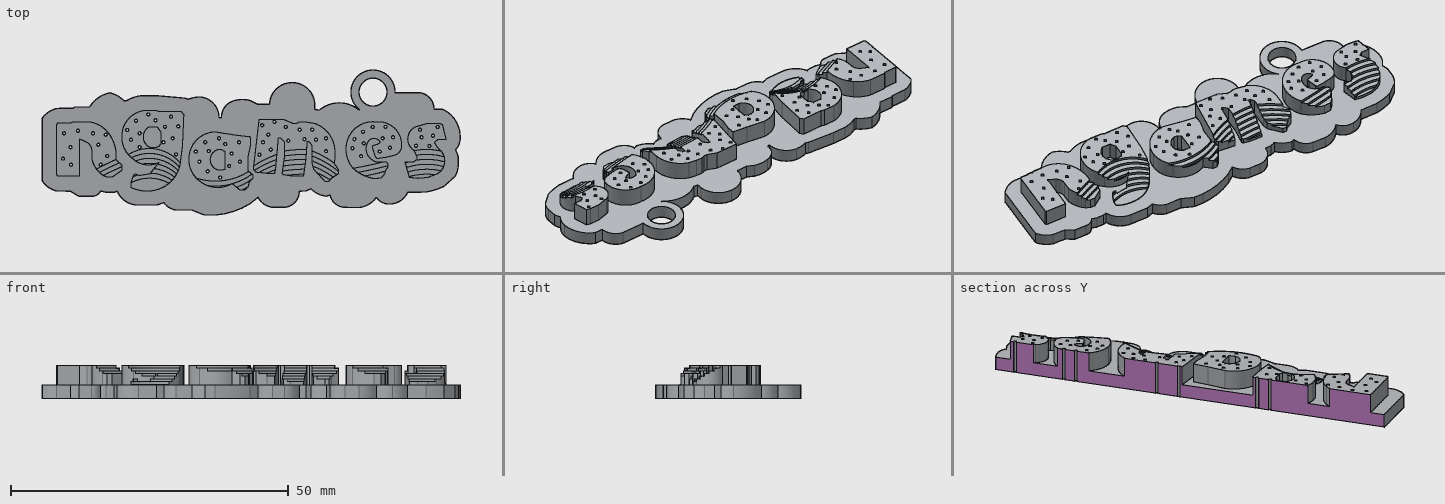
import cadquery as cq


total_height = 6.0
plate_thickness = 2.5
thinnest_tread = 0.1
longest_stair = 7
tread_drop = (total_height - plate_thickness - thinnest_tread) / longest_stair

ring_centre = (59.55, 22.16)
ring_radius = 4.0
ring_hole_diameter = 5.0

dot_diameter = 0.5
tread_depth = 0.89
stair_reach = 12.0

plate_outline = [
    (0, 6.2),
    (0, 17.5), ((1.15, 18.6), (2.7, 19.25)), (5.6, 19.3), (5.8, 19.5), (8.55, 19.5),
    ((10.0, 21.1), (12.2, 22.05)), ((13.6, 21.5), (14.7, 20.65)), (15.2, 20.65),
    ((16.5, 21.25), (17.9, 21.55)), (20.5, 21.55), (25.7, 21.1), (26.3, 20.9),
    ((27.3, 21.2), (28.6, 21.3)), ((30.8, 20.2), (31.85, 17.55)), (32.25, 17.55),
    ((32.95, 19.6), (34.6, 20.65)), ((35.9, 20.85), (37.5, 20.65)), (38.8, 20.0), (40.9, 20.0),
    ((42.2, 22.8), (45.1, 23.9)), ((47.9, 22.7), (49.1, 20.0)), (49.1, 19.05), (49.9, 18.95),
    ((53.4, 20.25), (57.05, 18.95)),
    (63.6, 22.05), (68.1, 22.05),
    ((69.6, 21.3), (70.55, 19.1)), (72.1, 19.1), ((74.1, 17.5), (75.27, 14.0)),
    ((75.1, 12.9), (74.45, 11.8)), (74.9, 10.6), (74.9, 8.8), ((74.7, 7.8), (74.3, 6.95)),
    (72.3, 5.15), ((70.9, 4.6), (69.1, 4.15)), (65.8, 4.1),
    ((64.8, 2.8), (63.1, 2.05)), ((61.4, 2.2), (60.15, 3.2)), ((58.8, 1.95), (57.0, 1.35)),
    (54.5, 1.4), ((52.7, 2.1), (51.8, 3.65)), (51.2, 3.4), ((49.7, 3.8), (48.4, 4.75)),
    (47.5, 4.35), (46.3, 4.3), ((45.6, 2.4), (43.6, 1.4)), (41.5, 1.4),
    ((39.9, 2.0), (38.85, 3.2)), (37.4, 2.05), ((34.4, 0.65), (31.1, 0)), (29.3, 0),
    ((28.2, 0.4), (27.0, 0.9)), (24.1, 0.9), ((22.8, 1.4), (21.9, 2.25)), (20.6, 1.8),
    (17.3, 1.8), ((15.0, 2.5), (13.5, 4.3)), (12.9, 4.1), (11.5, 4.1), (10.5, 4.35),
    ((9.9, 3.65), (8.9, 3.4)), (6.6, 3.4), (5.1, 4.3), (2.6, 4.35), ((1.2, 4.95), (0, 6.2)),
]

letter_n = {
    "outline": [
        (2.8, 7.05), (6.7, 7.05), (6.7, 13.75), (8.1, 13.1), ((8.75, 12.4), (8.95, 11.5)),
        (8.95, 10.1), ((9.65, 8.5), (10.9, 7.2)), (11.7, 6.85), (12.6, 6.85), (14.35, 8.1),
        (14.35, 9.0), (13.3, 10.0), ((12.8, 13.3), (11.4, 15.4)), ((10.1, 16.3), (8.6, 16.8)),
        (5.5, 16.8), (5.2, 16.6), (2.8, 16.6), (2.6, 16.3), (2.6, 7.3), (2.8, 7.05),
    ],
    "counter": None,
    "dots": [
        (3.95, 14.75), (6.45, 15.2), (9.15, 14.75), (11.45, 14.5), (5.1, 12.25),
        (10.1, 12.7), (3.75, 10.2), (5.2, 9.1), (11.7, 10.65), (10.55, 9.1),
    ],
    "stairs": [((9.1, 7.95), (11.6, 9.25), (14.9, 10.75), 3)],
}

letter_g = {
    "outline": [
        (25.0, 18.7), (25.5, 18.1), (25.25, 12.4), (24.8, 9.0),
        ((23.0, 5.9), (18.8, 4.35)), ((17.4, 4.5), (16.0, 5.0)), (16.0, 5.95), (16.45, 7.2),
        (16.8, 7.45), (17.4, 7.15), (19.4, 7.45), (21.0, 9.5),
        ((19.0, 9.05), (16.4, 10.1)), ((14.9, 11.8), (14.35, 14.4)),
        ((15.5, 17.3), (18.3, 18.85)), (20.5, 18.85), (21.1, 18.65), (25.0, 18.7),
    ],
    "counter": [
        (19.2, 15.9), (20.7, 15.9), (21.4, 14.95), (21.4, 12.9), (21.0, 12.35), (20.1, 12.15),
        (19.3, 12.25), ((18.2, 14.2), (19.2, 15.9)),
    ],
    "dots": [
        (19.1, 18.15), (16.9, 17.0), (20.4, 17.1), (23.2, 17.75), (15.3, 15.35), (22.1, 15.9),
        (24.5, 16.0), (17.55, 14.75), (16.0, 13.6), (23.5, 13.85), (21.85, 13.15),
        (17.55, 12.25), (24.1, 10.95),
    ],
    "stairs": [((14.9, 10.5), (20.3, 11.95), (25.3, 8.8), 7)],
}

letter_a = {
    "outline": [
        (37.5, 14.1), (37.5, 12.6), (37.05, 10.5), (37.05, 8.0),
        (37.9, 7.3), (37.95, 6.7), (37.3, 6.0), (37.1, 5.2), (36.5, 4.55), (35.6, 4.55),
        (34.2, 5.7),
        ((31.3, 5.0), (28.3, 6.2)), ((26.85, 8.0), (26.4, 10.0)), ((27.8, 13.55), (31.1, 15.0)),
        (34.6, 14.45), (37.5, 14.1),
    ],
    "counter": [
        (32.95, 8.2), (32.95, 11.45), (32.3, 11.8), (31.6, 11.8), ((30.25, 10.0), (31.7, 8.15)),
        (32.95, 8.2),
    ],
    "dots": [
        (31.85, 13.85), (29.35, 13.15), (32.95, 12.8), (35.45, 13.15), (27.65, 11.45),
        (30.0, 11.55), (34.1, 11.1), (28.3, 9.65), (35.6, 9.65), (33.65, 8.85), (29.8, 7.9),
        (32.05, 6.8),
    ],
    "stairs": [((27.1, 6.9), (32.4, 6.2), (38.6, 8.95), 4)],
}

letter_m = {
    "outline": [
        (39.05, 17.25), (43.4, 17.25), (45.1, 16.55), (45.8, 16.55), (46.4, 16.8), (47.6, 16.75),
        (49.1, 16.5), ((51.5, 14.8), (52.7, 11.5)), (52.65, 9.2),
        (53.35, 8.2), (53.35, 7.5), (52.1, 6.7), (51.6, 6.1), (50.9, 6.1), (48.85, 8.3),
        (48.6, 9.3), (48.6, 12.5), (48.1, 13.2), (47.7, 13.3),
        (47.5, 10.3), (47.05, 7.05), (44.7, 7.1), (43.4, 7.3), (43.2, 7.6), (43.6, 10.4),
        (43.6, 13.2), (42.9, 13.9), (42.5, 13.9),
        (42.0, 8.1), (41.8, 7.5), (40.5, 7.55), (38.5, 7.75), (38.0, 8.25), (39.05, 17.25),
    ],
    "counter": None,
    "dots": [
        (39.6, 16.2), (41.8, 16.8), (43.85, 15.9), (46.35, 15.4), (48.6, 15.4), (40.7, 14.5),
        (39.75, 13.15), (44.3, 13.4), (41.15, 11.8), (39.1, 10.9), (47.2, 13.7), (49.3, 13.6),
        (51.1, 13.85), (51.1, 11.55),
    ],
    "stairs": [
        ((37.5, 8.5), (40.1, 10.05), (42.7, 11.1), 4),
        ((42.9, 11.45), (45.1, 11.75), (48.1, 11.85), 6),
        ((48.1, 11.75), (50.6, 10.65), (53.7, 8.5), 5),
    ],
}

letter_e = {
    "outline": [
        (60.2, 9.6), (62.0, 9.55), (62.25, 9.2), (62.2, 8.6), (61.8, 8.1), (61.7, 7.5),
        (61.0, 6.7), (59.7, 6.6), ((57.6, 7.3), (55.9, 8.5)), ((55.0, 10.1), (54.7, 12.0)),
        ((56.1, 15.4), (60.1, 16.8)), ((63.5, 15.6), (64.7, 12.5)), ((64.4, 11.5), (63.4, 10.8)),
        (62.0, 10.45), (60.3, 10.2), (60.0, 10.5), (59.5, 12.0), (59.5, 12.5), (60.4, 12.8),
        (60.85, 13.1), ((59.7, 13.85), (58.6, 13.1)), ((58.4, 11.3), (60.2, 9.6)),
    ],
    "counter": None,
    "dots": [
        (59.5, 15.9), (61.8, 15.9), (57.75, 15.0), (56.2, 13.7), (57.9, 12.95), (55.85, 12.05),
        (57.4, 10.65), (61.3, 13.85), (63.15, 14.05), (62.6, 12.15), (60.75, 11.45),
    ],
    "stairs": [((55.1, 8.3), (58.6, 8.95), (62.8, 9.95), 3)],
}

letter_s = {
    "outline": [
        (72.05, 16.35), (72.7, 13.65), (71.2, 13.6), (70.6, 13.1), (71.3, 12.0),
        ((72.45, 9.5), (71.0, 7.4)), (69.4, 6.8), (67.6, 6.65), (66.1, 6.8), (65.3, 9.55),
        (66.8, 9.6), (67.45, 10.0), (67.45, 10.6), (66.9, 11.7), ((65.85, 14.2), (67.3, 15.95)),
        (69.5, 16.55), (71.3, 16.55), (72.05, 16.35),
    ],
    "counter": None,
    "dots": [
        (68.0, 15.4), (71.2, 15.9), (68.3, 14.05), (70.35, 14.3), (67.3, 12.5), (69.7, 12.45),
    ],
    "stairs": [((65.1, 11.1), (69.4, 11.85), (73.3, 11.1), 6)],
}

letters = [letter_n, letter_g, letter_a, letter_m, letter_e, letter_s]


def prism(path, bottom, top):
    """Extrude a closed path between two heights."""
    sketch = cq.Workplane("XY", origin=(0, 0, bottom)).moveTo(*path[0])
    for segment in path[1:]:
        if isinstance(segment[0], tuple):
            sketch = sketch.threePointArc(*segment)
        else:
            sketch = sketch.lineTo(*segment)
    return sketch.close().extrude(top - bottom)


def shifted(point, dy):
    return (point[0], point[1] + dy)


def stair_cut(left, middle, right, step):
    """Space above one tread: everything on the -Y side of that tread's upper edge."""
    edge = [shifted(point, -step * tread_depth) for point in (left, middle, right)]
    far_right = shifted(edge[2], -stair_reach)
    far_left = shifted(edge[0], -stair_reach)
    path = [edge[0], (edge[1], edge[2]), far_right, far_left, edge[0]]
    return prism(path, total_height - (step + 1) * tread_drop, total_height)


def make_letter(letter):
    solid = prism(letter["outline"], 0, total_height)
    if letter["counter"]:
        solid = solid.cut(prism(letter["counter"], plate_thickness, total_height))
    for left, middle, right, treads in letter["stairs"]:
        for step in range(treads):
            solid = solid.cut(stair_cut(left, middle, right, step))
    return solid


def make_plate():
    ring = cq.Workplane("XY").center(*ring_centre).circle(ring_radius).extrude(plate_thickness)
    hole = cq.Workplane("XY").center(*ring_centre).circle(ring_hole_diameter / 2).extrude(plate_thickness)
    return prism(plate_outline, 0, plate_thickness).union(ring).cut(hole)


def dot_holes(centres):
    """Small round holes through letter and plate."""
    return cq.Workplane("XY").pushPoints(centres).circle(dot_diameter / 2).extrude(total_height)


result = make_plate()
for letter in letters:
    result = result.union(make_letter(letter))
for letter in letters:
    result = result.cut(dot_holes(letter["dots"]))